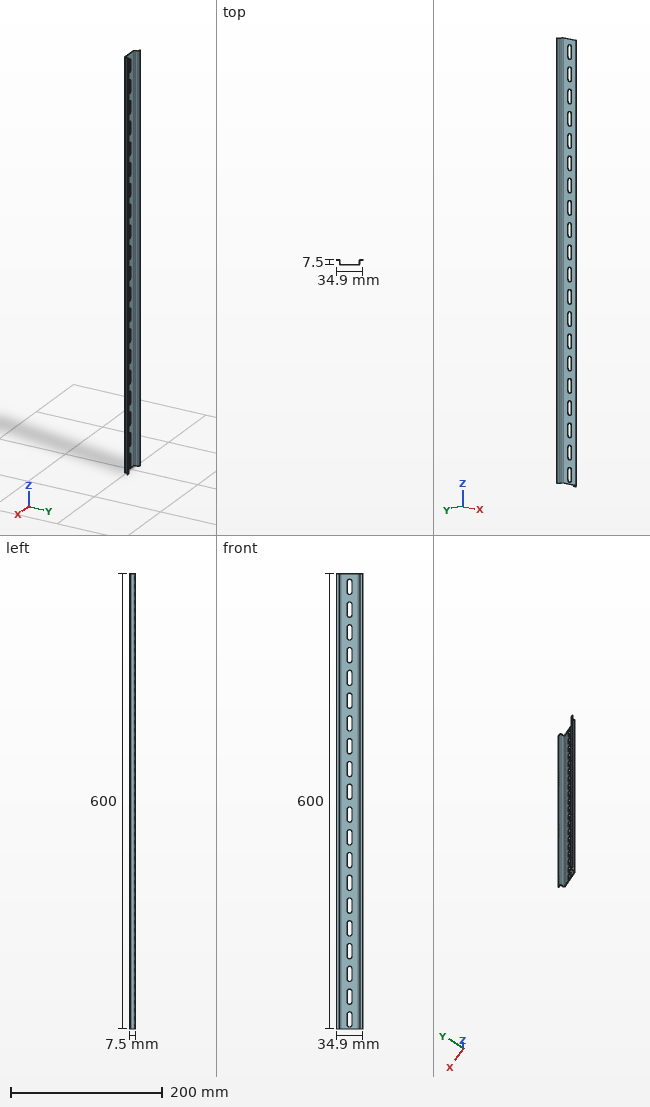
import cadquery as cq

rail_length = 600.0

sheet = 1.0
channel_width = 27.0
lip_overhang = 3.95
gap_under_lip = 5.5
rail_width = channel_width + 2 * lip_overhang
rail_height = gap_under_lip + 2 * sheet
inner_bend_radius = 1.0
outer_bend_radius = inner_bend_radius + sheet

slot_count = 20
slot_pitch = rail_length / slot_count
slot_length = 20.0
slot_width = 6.0
last_slot_to_end = 12.5


def make_rail():
    """Extrude the hat section along Z: web toward -Y, lips turned outward at +Y."""
    lip_edge = rail_width / 2
    wall_outside = channel_width / 2
    wall_inside = wall_outside - sheet
    web_face = -rail_height / 2
    lip_face = rail_height / 2
    section = (
        cq.Workplane("XY")
        .moveTo(-wall_outside, web_face)
        .lineTo(wall_outside, web_face)
        .lineTo(wall_outside, lip_face - sheet)
        .lineTo(lip_edge, lip_face - sheet)
        .lineTo(lip_edge, lip_face)
        .lineTo(wall_inside, lip_face)
        .lineTo(wall_inside, web_face + sheet)
        .lineTo(-wall_inside, web_face + sheet)
        .lineTo(-wall_inside, lip_face)
        .lineTo(-lip_edge, lip_face)
        .lineTo(-lip_edge, lip_face - sheet)
        .lineTo(-wall_outside, lip_face - sheet)
        .close()
    )
    rail = section.extrude(rail_length / 2, both=True)

    outer_bends = [(wall_outside, web_face), (wall_inside, lip_face)]
    inner_bends = [(wall_inside, web_face + sheet), (wall_outside, lip_face - sheet)]
    rail = round_bends(rail, outer_bends, outer_bend_radius)
    return round_bends(rail, inner_bends, inner_bend_radius)


def round_bends(rail, corners, radius):
    """Fillet the long edges at the given section corners and their mirror images in X."""
    for x, y in corners:
        for side in (-1, 1):
            nearest_edge = cq.selectors.NearestToPointSelector((side * x, y, 0))
            rail = rail.edges("|Z").edges(nearest_edge).fillet(radius)
    return rail


def make_slots():
    """Evenly pitched cutters, upright along Z, passing through the web only."""
    first_slot_z = last_slot_to_end - rail_length / 2
    centres = [(0, first_slot_z + i * slot_pitch) for i in range(slot_count)]
    return (
        cq.Workplane("XZ")
        .pushPoints(centres)
        .slot2D(slot_length, slot_width, 90)
        .extrude(rail_height, both=True)
    )


result = make_rail().cut(make_slots())